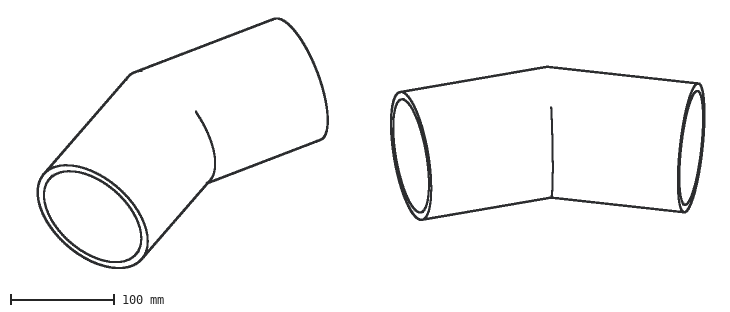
import cadquery as cq
import math

overall_length = 292.2
outer_diameter = 125.0
wall = 7.3
bend_angle = 30.0

outer_radius = outer_diameter / 2
inner_radius = outer_radius - wall
bend = math.radians(bend_angle)

leg_length = (overall_length - outer_radius * math.sin(bend)) / (1 + math.cos(bend))


def mitred_rod(radius):
    """Solid rod along the bent centreline, with a mitred corner at the origin."""
    centreline = (
        cq.Workplane("XY")
        .moveTo(0, -leg_length)
        .lineTo(0, 0)
        .lineTo(leg_length * math.sin(bend), leg_length * math.cos(bend))
    )
    return (
        cq.Workplane("XZ", origin=(0, -leg_length, 0))
        .circle(radius)
        .sweep(centreline, transition="right")
    )


result = mitred_rod(outer_radius).cut(mitred_rod(inner_radius))